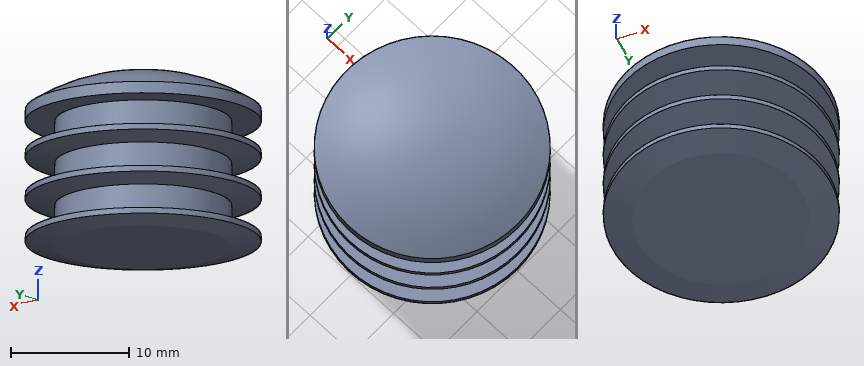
import cadquery as cq

outer_radius = 10.0
core_radius = 7.5
total_height = 15.0

dome_height = 3.0
cap_rim_height = 1.0
fin_count = 3
fin_taper_height = 0.5
fin_rim_height = 0.5

cap_bottom = total_height - dome_height - cap_rim_height
fin_pitch = cap_bottom / fin_count
dome_radius = (outer_radius**2 + dome_height**2) / (2 * dome_height)


def make_core():
    """Plain cylinder joining the fins to the cap."""
    return cq.Workplane("XY").circle(core_radius).extrude(cap_bottom)


def make_fin(bottom):
    """Flat-topped fin whose underside tapers in to the core."""
    rim_bottom = bottom + fin_taper_height
    rim_top = rim_bottom + fin_rim_height
    return (
        cq.Workplane("XZ")
        .moveTo(0, bottom)
        .lineTo(core_radius, bottom)
        .lineTo(outer_radius, rim_bottom)
        .lineTo(outer_radius, rim_top)
        .lineTo(0, rim_top)
        .close()
        .revolve(360, (0, 0, 0), (0, 1, 0))
    )


def make_cap():
    """Cylindrical rim topped by a shallow spherical dome."""
    rim_top = cap_bottom + cap_rim_height
    return (
        cq.Workplane("XZ")
        .moveTo(0, cap_bottom)
        .lineTo(outer_radius, cap_bottom)
        .lineTo(outer_radius, rim_top)
        .radiusArc((0, total_height), -dome_radius)
        .close()
        .revolve(360, (0, 0, 0), (0, 1, 0))
    )


result = make_core().union(make_cap())
for fin_index in range(fin_count):
    result = result.union(make_fin(fin_index * fin_pitch))